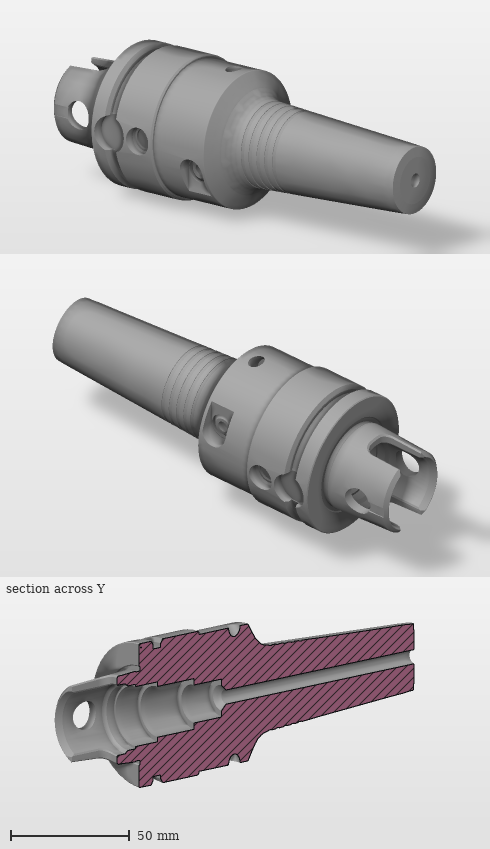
import cadquery as cq
import math


shank_length = 32.0
shank_base_radius = 20.0
shank_taper = 0.05
shank_tip_chamfer = 1.7
relief_length = 2.0
relief_depth = 0.4
face_groove_radius = 21.8
face_groove_depth = 0.5

flange_radius = 31.5
flange_edge_chamfer = 0.4
groove_center_x = 9.85
groove_radius = 28.0
groove_floor_width = 3.9
groove_lip_width = 1.1
groove_lip_height = 1.9
flange_end_x = 32.8
flange_end_chamfer = 0.7
body_radius = 30.0
body_end_x = 59.5
body_edge_round = 0.5

nose_end_x = 150.0
nose_tip_length = 5.2
nose_tip_radius = 14.95
nose_end_radius = 14.6
nose_taper_angle = 3.0
shoulder_angle = 60.0
shoulder_fillet = 8.5
nose_face_radius = 10.2
nose_face_drop = 0.4
ring_count = 5
ring_first_x = 70.8
ring_pitch = 4.05
ring_width = 1.7
ring_depth = 0.25

mouth_radius = 16.5
mouth_cone_length = 3.0
bore_steps = [(15.2, -7.5), (14.0, -2.0), (13.0, 10.0), (11.0, 30.0), (8.2, 45.0)]
seat_cone_length = 1.5
coolant_radius = 3.0
coolant_cone_radius = 5.5

slot_width = 14.0
slot_end_x = -12.0
slot_corner_radius = 4.0
slot_outer_bevel = 0.8
slot_inner_bevel = 0.5
slot_mouth_chamfer = 1.5
ball_hole_diameter = 12.5
ball_hole_x = -17.1
keyway_width = 5.0
keyway_floor_y = 18.0

notch_diameter = 16.0
notch_x = 9.8
notch_floor_y = 26.5
port_x = 25.0
port_diameter = 12.0
port_inner_diameter = 9.2
port_lead_depth = 1.0
port_neck_diameter = 11.0
port_step_y = 26.0
port_floor_y = 25.0
pocket_x = 52.0
pocket_z = -9.0
pocket_width = 12.0
pocket_floor_y = 22.6
screw_face_diameter = 8.0
screw_outer_diameter = 11.6
screw_chamfer_depth = 1.8
screw_hole_diameter = 5.0
screw_hole_depth = 3.0
drill_point_depth = 1.5
angled_hole_diameter = 6.0
angled_hole_tilt = 45.0
angled_hole_depth = 8.0

half_turns = (0, 180)


def revolve_profile(points):
    """Turn a closed (x, radius) outline about the X axis."""
    return cq.Workplane("XY").polyline(points).close().revolve(360, (0, 0, 0), (1, 0, 0))


def shank_radius(x):
    return shank_base_radius + shank_taper * x


def nose_radius(x):
    nose_slope = math.tan(math.radians(nose_taper_angle))
    return nose_tip_radius + nose_slope * (nose_end_x - nose_tip_length - x)


def rod_y(diameter, x, z, y_inner, y_outer):
    """Cylinder on the -Y side with its axis along Y, between two distances from the XZ plane."""
    plane = cq.Plane(origin=(x, -y_inner, z), xDir=(1, 0, 0), normal=(0, -1, 0))
    return cq.Workplane(plane).circle(diameter / 2).extrude(y_outer - y_inner)


def cone_y(x, z, y_start, start_diameter, y_end, end_diameter):
    """Cone frustum on the -Y side with its axis along Y."""
    height = y_end - y_start
    solid = cq.Solid.makeCone(
        start_diameter / 2, end_diameter / 2, height, cq.Vector(x, -y_start, z), cq.Vector(0, -1, 0)
    )
    return cq.Workplane(solid)


def cut_both_sides(part, cutter):
    for angle in half_turns:
        part = part.cut(cutter.rotate((0, 0, 0), (1, 0, 0), angle))
    return part


def turned_body():
    tip_x = -shank_length
    tip_chamfer_x = tip_x + shank_tip_chamfer
    relief_radius = shank_base_radius - relief_depth
    groove_left = groove_center_x - groove_floor_width / 2
    groove_right = groove_center_x + groove_floor_width / 2
    lip_radius = flange_radius - groove_lip_height
    nose_tip_x = nose_end_x - nose_tip_length
    shoulder_slope = math.tan(math.radians(shoulder_angle))
    nose_slope = math.tan(math.radians(nose_taper_angle))
    shoulder_x = body_end_x + (body_radius - nose_radius(body_end_x)) / (shoulder_slope - nose_slope)
    outline = [
        (tip_x, 0),
        (tip_x, shank_radius(tip_x) - shank_tip_chamfer),
        (tip_chamfer_x, shank_radius(tip_chamfer_x)),
        (-relief_length, shank_radius(-relief_length)),
        (-relief_length + relief_depth, relief_radius),
        (face_groove_depth, relief_radius),
        (face_groove_depth, face_groove_radius - face_groove_depth),
        (0, face_groove_radius),
        (0, flange_radius - flange_edge_chamfer),
        (flange_edge_chamfer, flange_radius),
        (groove_left - groove_lip_width, flange_radius),
        (groove_left, lip_radius),
        (groove_left, groove_radius),
        (groove_right, groove_radius),
        (groove_right, lip_radius),
        (groove_right + groove_lip_width, flange_radius),
        (flange_end_x - flange_end_chamfer, flange_radius),
        (flange_end_x, flange_radius - flange_end_chamfer),
        (flange_end_x, body_radius),
        (body_end_x, body_radius),
        (shoulder_x, nose_radius(shoulder_x)),
        (nose_tip_x, nose_tip_radius),
        (nose_end_x - nose_face_drop, nose_end_radius),
        (nose_end_x, nose_face_radius),
        (nose_end_x, 0),
    ]
    body = revolve_profile(outline)
    body = body.edges(at_x(shoulder_x)).fillet(shoulder_fillet)
    return body.edges(at_x(body_end_x)).fillet(body_edge_round)


def at_x(x):
    """Selector for the circular edges that lie in the plane at the given X."""
    margin = 0.05
    reach = 2 * flange_radius
    return cq.selectors.BoxSelector((x - margin, -reach, -reach), (x + margin, reach, reach))


def cut_nose_rings(part):
    for index in range(ring_count):
        start = ring_first_x + index * ring_pitch
        end = start + ring_width
        ring = revolve_profile([
            (start, nose_radius(start) - ring_depth),
            (start, flange_radius),
            (end, flange_radius),
            (end, nose_radius(end) - ring_depth),
        ])
        part = part.cut(ring)
    return part


def stepped_bore():
    """Bore with a conical mouth, a conical seat after the first step and a coolant hole right through."""
    points = [(-shank_length, 0), (-shank_length, mouth_radius)]
    start_x = -shank_length + mouth_cone_length
    for index, (radius, end_x) in enumerate(bore_steps):
        points.append((start_x, radius))
        points.append((end_x, radius))
        start_x = end_x
        if index == 0:
            start_x += seat_cone_length
    cone_end = start_x + coolant_cone_radius - coolant_radius
    points += [
        (start_x, coolant_cone_radius),
        (cone_end, coolant_radius),
        (nose_end_x, coolant_radius),
        (nose_end_x, 0),
    ]
    return revolve_profile(points)


def cut_shank_slots(part):
    """Cut one slot through both walls of the shank, then bevel its rims and its mouth."""
    length = shank_length + slot_end_x
    slot = cq.Workplane("XY").box(2 * length, slot_width, 2 * flange_radius)
    slot = slot.edges("|Z and >X").fillet(slot_corner_radius).translate((-shank_length, 0, 0))
    part = bevel_slot_rims(part.cut(slot))

    half_width = slot_width / 2
    wide_half = half_width + slot_mouth_chamfer
    narrow_x = -shank_length + slot_mouth_chamfer
    flare = [
        (-shank_length, -wide_half),
        (narrow_x, -half_width),
        (narrow_x, half_width),
        (-shank_length, wide_half),
    ]
    return part.cut(cq.Workplane("XY").polyline(flare).close().extrude(flange_radius, both=True))


def bevel_slot_rims(part):
    """Bevel the outer and inner rims of the slot, leaving the short edges at the tip sharp."""
    margin = 0.1
    reach = slot_width / 2 + margin
    slot_zone = cq.selectors.BoxSelector(
        (-shank_length - margin, -reach, -flange_radius),
        (slot_end_x + margin, reach, flange_radius),
        boundingbox=True,
    )
    tip_band_end = -shank_length + mouth_cone_length + margin
    inner_limit = (bore_steps[0][0] + shank_base_radius) / 2

    def rim(body, is_outer):
        def belongs(edge):
            middle = edge.Center()
            past_tip = edge.BoundingBox().xmax > tip_band_end
            return past_tip and (math.hypot(middle.y, middle.z) > inner_limit) == is_outer

        return body.edges(slot_zone).edges("not |Z").filter(belongs)

    part = rim(part, True).chamfer(slot_outer_bevel)
    return rim(part, False).chamfer(slot_inner_bevel)


def cut_ball_holes(part):
    return part.cut(rod_y(ball_hole_diameter, ball_hole_x, 0, -shank_base_radius, shank_base_radius))


def cut_keyways(part):
    length = shank_length + ball_hole_x
    depth = shank_base_radius - keyway_floor_y
    keyway = cq.Workplane("XY").box(length, depth, keyway_width, centered=(False, False, True))
    return cut_both_sides(part, keyway.translate((-shank_length, -shank_base_radius, 0)))


def cut_flange_notches(part):
    return cut_both_sides(part, rod_y(notch_diameter, notch_x, 0, notch_floor_y, flange_radius))


def cut_ports(part):
    lead_y = port_step_y + port_lead_depth
    port = rod_y(port_diameter, port_x, 0, lead_y, flange_radius)
    port = port.union(cone_y(port_x, 0, port_step_y, port_neck_diameter, lead_y, port_diameter))
    port = port.union(rod_y(port_inner_diameter, port_x, 0, port_floor_y, port_step_y))
    return cut_both_sides(part, port)


def cut_screw_pockets(part):
    depth = flange_radius - pocket_floor_y
    run_out = cq.Workplane("XY").box(pocket_width, depth, flange_radius, centered=(True, False, False))
    run_out = run_out.translate((pocket_x, -flange_radius, pocket_z - flange_radius))
    pocket = rod_y(pocket_width, pocket_x, pocket_z, pocket_floor_y, flange_radius).union(run_out)

    ring_y = pocket_floor_y - screw_chamfer_depth
    ring = rod_y(screw_outer_diameter, pocket_x, pocket_z, ring_y, pocket_floor_y)
    screw_end = cone_y(pocket_x, pocket_z, ring_y, screw_outer_diameter, pocket_floor_y, screw_face_diameter)

    hole_y = pocket_floor_y - screw_hole_depth
    hole = rod_y(screw_hole_diameter, pocket_x, pocket_z, hole_y, pocket_floor_y)
    point = cone_y(pocket_x, pocket_z, hole_y - drill_point_depth, 0, hole_y, screw_hole_diameter)

    for cutter in (pocket, ring.cut(screw_end), hole.union(point)):
        part = cut_both_sides(part, cutter)
    return part


def cut_angled_holes(part):
    length = angled_hole_depth + body_radius / 2
    hole = cq.Workplane("XY").circle(angled_hole_diameter / 2).extrude(length)
    hole = hole.translate((0, 0, -angled_hole_depth))
    hole = hole.rotate((0, 0, 0), (1, 0, 0), -angled_hole_tilt)
    return cut_both_sides(part, hole.translate((pocket_x, 0, body_radius)))


result = turned_body()
result = cut_nose_rings(result)
result = result.cut(stepped_bore())
result = cut_shank_slots(result)
result = cut_ball_holes(result)
result = cut_keyways(result)
result = cut_flange_notches(result)
result = cut_ports(result)
result = cut_screw_pockets(result)
result = cut_angled_holes(result)